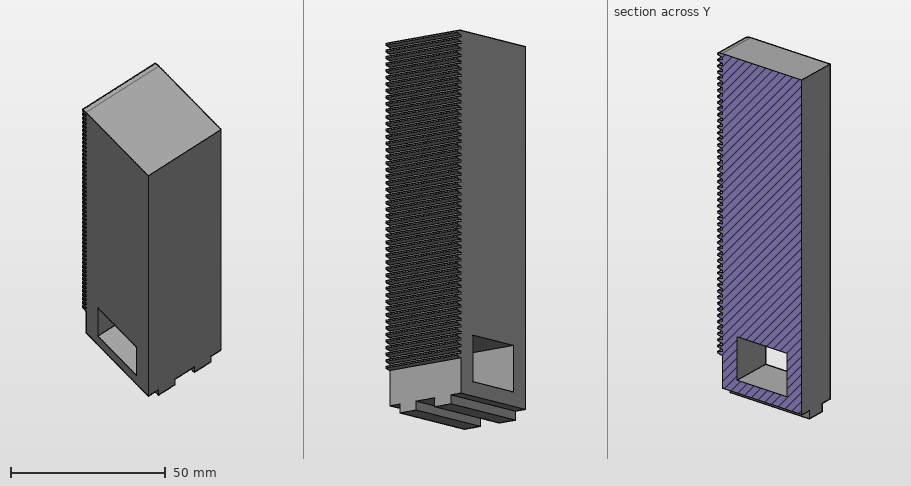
import cadquery as cq

total_height = 123
total_length_x = 34.5
width_y = 30.0
tooth_depth = 2.0
rail_height = 3.0

body_length_x = total_length_x - tooth_depth
body_right_x = total_length_x / 2
body_left_x = body_right_x - body_length_x
body_center_x = (body_left_x + body_right_x) / 2
body_height = total_height - rail_height

tooth_count = 50
rack_height = 108.4
half_tooth_base = 0.75
half_tooth_tip = 0.2
tooth_flank_radius = 5.0
tooth_pitch = (rack_height - 2 * half_tooth_base) / (tooth_count - 1)

window_length_x = 20.2
window_height = 15.4
window_sill_z = 7.7

rail_width_y = 6.9
rail_gap_y = 7.9
rail_center_y = (rail_gap_y + rail_width_y) / 2


def centered_box(length_x, length_y, height, center_y, bottom_z):
    """Box centred on the body in X, given by its Y centre and the height of its underside."""
    return (
        cq.Workplane("XY", origin=(body_center_x, center_y, bottom_z))
        .box(length_x, length_y, height, centered=(True, True, False))
    )


def toothed_body():
    """Extrude one XZ outline: the body rectangle with convex-flanked teeth down its left side."""
    tip_x = -total_length_x / 2
    outline = (
        cq.Workplane("XZ", origin=(0, width_y / 2, 0))
        .moveTo(body_left_x, rail_height)
        .line(body_length_x, 0)
        .line(0, body_height)
        .line(-body_length_x, 0)
    )
    for index in range(tooth_count):
        center_z = total_height - half_tooth_base - index * tooth_pitch
        if index > 0:
            outline = outline.lineTo(body_left_x, center_z + half_tooth_base)
        outline = (
            outline.radiusArc((tip_x, center_z + half_tooth_tip), -tooth_flank_radius)
            .lineTo(tip_x, center_z - half_tooth_tip)
            .radiusArc((body_left_x, center_z - half_tooth_base), -tooth_flank_radius)
        )
    return outline.close().extrude(width_y)


window = centered_box(window_length_x, width_y, window_height, 0, window_sill_z)
result = toothed_body().cut(window)

for side in (-1, 1):
    rail = centered_box(body_length_x, rail_width_y, rail_height, side * rail_center_y, 0)
    result = result.union(rail)